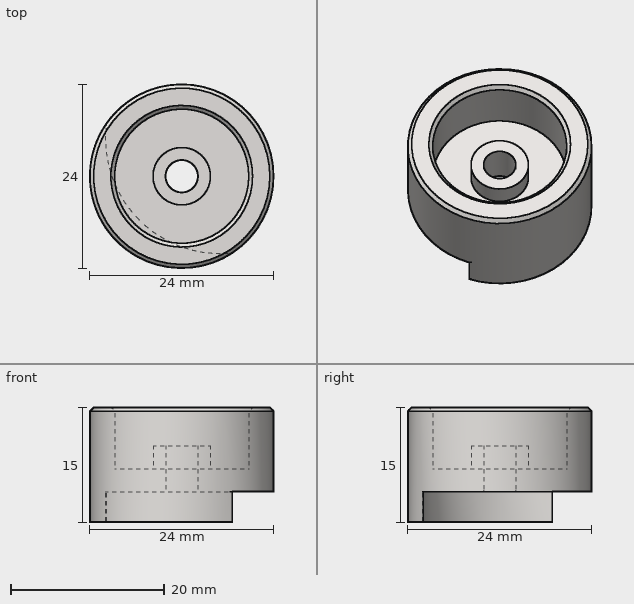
import cadquery as cq
import math

body_diameter = 24.0
body_height = 15.0
rim_chamfer = 0.5

pocket_diameter = 17.5
pocket_depth = 8.0
boss_diameter = 7.5
boss_height = 3.0
bore_diameter = 4.2

recess_height = 4.0
recess_radius = 15.0
recess_offset = 7.03
recess_direction = 44.3

pocket_floor = body_height - pocket_depth


def make_cup():
    """Cylinder with a pocket and chamfers on both edges of the rim."""
    cup = cq.Workplane("XY").circle(body_diameter / 2).extrude(body_height)
    pocket = (
        cq.Workplane("XY")
        .workplane(offset=pocket_floor)
        .circle(pocket_diameter / 2)
        .extrude(pocket_depth)
    )
    return cup.cut(pocket).faces(">Z").edges().chamfer(rim_chamfer)


def make_boss():
    """Round boss rising from the pocket floor."""
    return (
        cq.Workplane("XY")
        .workplane(offset=pocket_floor)
        .circle(boss_diameter / 2)
        .extrude(boss_height)
    )


def make_bore():
    """Through hole on the axis of the part."""
    return cq.Workplane("XY").circle(bore_diameter / 2).extrude(body_height)


def make_recess():
    """Off-axis cylinder that clears the underside beside the crescent-shaped foot."""
    angle = math.radians(recess_direction)
    centre_x = recess_offset * math.cos(angle)
    centre_y = recess_offset * math.sin(angle)
    return cq.Workplane("XY").center(centre_x, centre_y).circle(recess_radius).extrude(recess_height)


result = make_cup().union(make_boss()).cut(make_bore()).cut(make_recess())